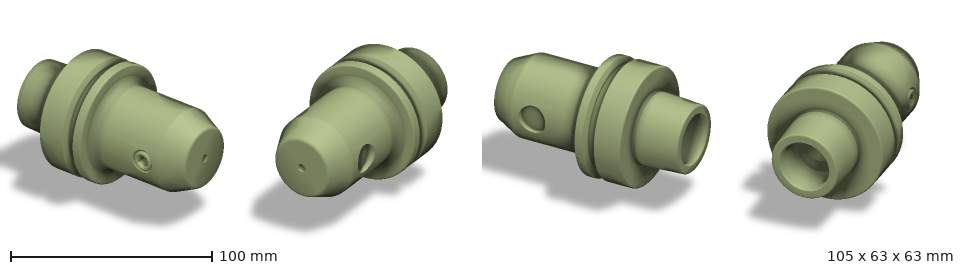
import cadquery as cq
import math


TOTAL_LENGTH = 105
FLANGE_START = 25.0
FLANGE_WIDTH = 26.0
FLANGE_END = FLANGE_START + FLANGE_WIDTH
NOSE_START = 91.9

TAPER_MAX_RADIUS = 19.1
TAPER_END = 22.9
TAPER_SLOPE = 0.05
TAPER_EDGE_ROUND = 1.0
NECK_RADIUS = 18.7
NECK_START = 23.6
NECK_FILLET = 0.9
FACE_RELIEF_RADIUS = 20.3
FACE_RELIEF_DEPTH = 0.1

FLANGE_RADIUS = 31.5
FLANGE_EDGE_ROUND = 1.0
GROOVE_CENTRE = 42.9
GROOVE_MOUTH_WIDTH = 6.6
GROOVE_FLOOR_WIDTH = 3.6
GROOVE_FLOOR_FILLET = 0.3
GROOVE_FLOOR_RADIUS = 27.5
GROOVE_FLANK_ANGLE = 60

BODY_DIAMETER = 44.0
BODY_RADIUS = BODY_DIAMETER / 2
FLANGE_FILLET_RISE = 3.6
FLANGE_FILLET_LENGTH = 5.0
NOSE_ANGLE = 25
NOSE_BLEND = 2.1
NOSE_EDGE_ROUND = 1.8

SOCKET_RADIUS = 13.0
SOCKET_DEPTH = 18.6
SOCKET_CHAMFER_WIDTH = 0.6
SOCKET_CHAMFER_LENGTH = 0.9
SOCKET_FLOOR_FILLET = 1.0
COUNTERBORE_RADIUS = 5.8
COUNTERBORE_CHAMFER = 0.6
COUNTERBORE_DEPTH = 10.5
COOLANT_RADIUS = 2.2
COOLANT_CHAMFER = 0.5

SCREW_X = 82.5
SCREW_RADIUS = 5.2
SCREW_HOLE_MOUTH_CHAMFER = 1.0
SCREW_TIP_DEPTH = 16.0
SCREW_TOP_DEPTH = 0.1
SCREW_CHAMFER = 0.7
HEX_ACROSS_FLATS = 6.0
HEX_DEPTH = 6.0
HEX_CHAMFER = 0.2

BALANCE_X = 79.9
BALANCE_RADIUS = 7.6
BALANCE_DEPTH = 4.2

PICK_MARGIN = 1


def revolve_about_x(profile):
    """Close a profile in the XY plane and turn it about the holder's axis."""
    return profile.close().revolve(360, (0, 0, 0), (1, 0, 0))


def revolve_about_radial_axis(profile, axis_x):
    """Turn a profile in the XY plane about the line x = axis_x, parallel to Y."""
    return profile.close().revolve(360, (axis_x, 0, 0), (axis_x, 1, 0))


def arc_midpoint(centre, radius, degrees):
    """Point on a circle at the given angle, used as the middle point of an arc."""
    angle = math.radians(degrees)
    return centre[0] + radius * math.cos(angle), centre[1] + radius * math.sin(angle)


def make_shank():
    """Taper shank, with an undercut neck that runs a little into the flange face."""
    front_radius = TAPER_MAX_RADIUS - TAPER_SLOPE * TAPER_END
    relief_floor = FLANGE_START + FACE_RELIEF_DEPTH
    fillet_centre = (relief_floor - NECK_FILLET, NECK_RADIUS + NECK_FILLET)
    cone = revolve_about_x(
        cq.Workplane("XY").polyline(
            [(0, 0), (0, front_radius), (TAPER_END, TAPER_MAX_RADIUS), (TAPER_END, 0)]
        )
    )
    cone = cone.faces("<X").edges().fillet(TAPER_EDGE_ROUND)
    neck = revolve_about_x(
        cq.Workplane("XY")
        .moveTo(TAPER_END, 0)
        .lineTo(TAPER_END, TAPER_MAX_RADIUS)
        .lineTo(NECK_START, NECK_RADIUS)
        .lineTo(fillet_centre[0], NECK_RADIUS)
        .threePointArc(arc_midpoint(fillet_centre, NECK_FILLET, -45), (relief_floor, fillet_centre[1]))
        .lineTo(relief_floor, 0)
    )
    return cone.union(neck)


def make_flange():
    """Disc with rounded rims, cut by the gripper groove and the face relief."""
    flange = (
        cq.Workplane("YZ", origin=(FLANGE_START, 0, 0))
        .circle(FLANGE_RADIUS)
        .extrude(FLANGE_WIDTH)
        .edges()
        .fillet(FLANGE_EDGE_ROUND)
    )
    return flange.cut(make_gripper_groove()).cut(make_face_relief())


def make_gripper_groove():
    """V-groove whose flanks end in a narrow straight-walled slot."""
    half_mouth = GROOVE_MOUTH_WIDTH / 2
    half_floor = GROOVE_FLOOR_WIDTH / 2
    flank_drop = (half_mouth - half_floor) * math.tan(math.radians(GROOVE_FLANK_ANGLE))
    flank_end_radius = FLANGE_RADIUS - flank_drop
    groove = revolve_about_x(
        cq.Workplane("XY").polyline(
            [
                (GROOVE_CENTRE - half_mouth, FLANGE_RADIUS),
                (GROOVE_CENTRE - half_floor, flank_end_radius),
                (GROOVE_CENTRE - half_floor, GROOVE_FLOOR_RADIUS),
                (GROOVE_CENTRE + half_floor, GROOVE_FLOOR_RADIUS),
                (GROOVE_CENTRE + half_floor, flank_end_radius),
                (GROOVE_CENTRE + half_mouth, FLANGE_RADIUS),
            ]
        )
    )
    smallest_circles = cq.selectors.RadiusNthSelector(0)
    return groove.edges("%CIRCLE").edges(smallest_circles).fillet(GROOVE_FLOOR_FILLET)


def make_face_relief():
    """Shallow cone in the flange face that meets the fillet of the neck."""
    return revolve_about_x(
        cq.Workplane("XY").polyline(
            [
                (FLANGE_START, 0),
                (FLANGE_START, FACE_RELIEF_RADIUS),
                (FLANGE_START + FACE_RELIEF_DEPTH, NECK_RADIUS + NECK_FILLET),
                (FLANGE_START + FACE_RELIEF_DEPTH, 0),
            ]
        )
    )


def make_clamping_body():
    """Cylinder that flares into the flange, with a conical nose."""
    fillet_end = FLANGE_END + FLANGE_FILLET_LENGTH
    flare_radius = (FLANGE_FILLET_LENGTH**2 + FLANGE_FILLET_RISE**2) / (2 * FLANGE_FILLET_RISE)
    flare_centre = (fillet_end, BODY_RADIUS + flare_radius)
    flare_sweep = math.degrees(math.asin(FLANGE_FILLET_LENGTH / flare_radius))
    flare = revolve_about_x(
        cq.Workplane("XY")
        .moveTo(FLANGE_END, 0)
        .lineTo(FLANGE_END, BODY_RADIUS + FLANGE_FILLET_RISE)
        .threePointArc(
            arc_midpoint(flare_centre, flare_radius, -90 - flare_sweep / 2), (fillet_end, BODY_RADIUS)
        )
        .lineTo(fillet_end, 0)
    )
    nose_radius = BODY_RADIUS - (TOTAL_LENGTH - NOSE_START) * math.tan(math.radians(NOSE_ANGLE))
    barrel = revolve_about_x(
        cq.Workplane("XY").polyline(
            [
                (fillet_end, 0),
                (fillet_end, BODY_RADIUS),
                (NOSE_START, BODY_RADIUS),
                (TOTAL_LENGTH, nose_radius),
                (TOTAL_LENGTH, 0),
            ]
        )
    )
    barrel = barrel.faces(">X").edges().fillet(NOSE_EDGE_ROUND)
    nose_edge = cq.selectors.BoxSelector(
        (NOSE_START - PICK_MARGIN, -FLANGE_RADIUS, -FLANGE_RADIUS),
        (NOSE_START + PICK_MARGIN, FLANGE_RADIUS, FLANGE_RADIUS),
        boundingbox=True,
    )
    barrel = barrel.edges(nose_edge).fillet(NOSE_BLEND)
    return flare.union(barrel)


def make_bore():
    """Socket, counterbore and coolant hole along the axis, each with a chamfered mouth."""
    floor_corner = (SOCKET_DEPTH - SOCKET_FLOOR_FILLET, SOCKET_RADIUS - SOCKET_FLOOR_FILLET)
    counterbore_floor = SOCKET_DEPTH + COUNTERBORE_DEPTH
    return revolve_about_x(
        cq.Workplane("XY")
        .moveTo(0, 0)
        .lineTo(0, SOCKET_RADIUS + SOCKET_CHAMFER_WIDTH)
        .lineTo(SOCKET_CHAMFER_LENGTH, SOCKET_RADIUS)
        .lineTo(floor_corner[0], SOCKET_RADIUS)
        .threePointArc(arc_midpoint(floor_corner, SOCKET_FLOOR_FILLET, 45), (SOCKET_DEPTH, floor_corner[1]))
        .lineTo(SOCKET_DEPTH, COUNTERBORE_RADIUS + COUNTERBORE_CHAMFER)
        .lineTo(SOCKET_DEPTH + COUNTERBORE_CHAMFER, COUNTERBORE_RADIUS)
        .lineTo(counterbore_floor, COUNTERBORE_RADIUS)
        .lineTo(counterbore_floor, COOLANT_RADIUS + COOLANT_CHAMFER)
        .lineTo(counterbore_floor + COOLANT_CHAMFER, COOLANT_RADIUS)
        .lineTo(TOTAL_LENGTH, COOLANT_RADIUS)
        .lineTo(TOTAL_LENGTH, 0)
    )


def make_screw_hole():
    """Blind radial hole that ends at the screw tip."""
    return (
        cq.Workplane("XZ", origin=(SCREW_X, SCREW_TIP_DEPTH - BODY_RADIUS, 0))
        .circle(SCREW_RADIUS)
        .extrude(SCREW_TIP_DEPTH)
    )


def make_balancing_hole():
    """Shallow flat-bottomed hole opposite the clamping screw."""
    return (
        cq.Workplane("XZ", origin=(BALANCE_X, BODY_RADIUS, 0))
        .circle(BALANCE_RADIUS)
        .extrude(BALANCE_DEPTH)
    )


def chamfer_screw_hole_mouth(holder):
    """Chamfer the saddle-shaped edge where the screw hole breaks through the body."""
    reach = SCREW_RADIUS + SCREW_HOLE_MOUTH_CHAMFER
    mouth_edge = cq.selectors.BoxSelector(
        (SCREW_X - reach, -BODY_RADIUS - PICK_MARGIN, -reach),
        (SCREW_X + reach, SCREW_HOLE_MOUTH_CHAMFER + PICK_MARGIN - BODY_RADIUS, reach),
        boundingbox=True,
    )
    return holder.edges(mouth_edge).chamfer(SCREW_HOLE_MOUTH_CHAMFER)


def make_holder():
    """Shank, flange and clamping body in one piece, with its bore and radial holes."""
    holder = make_shank().union(make_flange()).union(make_clamping_body())
    holder = chamfer_screw_hole_mouth(holder.cut(make_screw_hole()))
    return holder.cut(make_bore()).cut(make_balancing_hole())


def make_clamping_screw():
    """Headless screw with a chamfered top and a hexagon socket."""
    top_y = SCREW_TOP_DEPTH - BODY_RADIUS
    length = SCREW_TIP_DEPTH - SCREW_TOP_DEPTH
    top_plane = cq.Plane(origin=(SCREW_X, top_y, 0), xDir=(0, 0, 1), normal=(0, 1, 0))
    hex_corner_radius = HEX_ACROSS_FLATS / math.sqrt(3)
    screw = (
        cq.Workplane(top_plane)
        .circle(SCREW_RADIUS)
        .extrude(length)
        .faces("<Y")
        .edges()
        .chamfer(SCREW_CHAMFER)
    )
    socket = cq.Workplane(top_plane).polygon(6, 2 * hex_corner_radius).extrude(HEX_DEPTH)
    mouth_radius = hex_corner_radius + HEX_CHAMFER
    mouth = revolve_about_radial_axis(
        cq.Workplane("XY").polyline(
            [(SCREW_X, top_y), (SCREW_X + mouth_radius, top_y), (SCREW_X, top_y + mouth_radius)]
        ),
        SCREW_X,
    )
    return screw.cut(socket).cut(mouth)


holder = make_holder()
clamping_screw = make_clamping_screw()
result = cq.Compound.makeCompound([holder.val(), clamping_screw.val()])